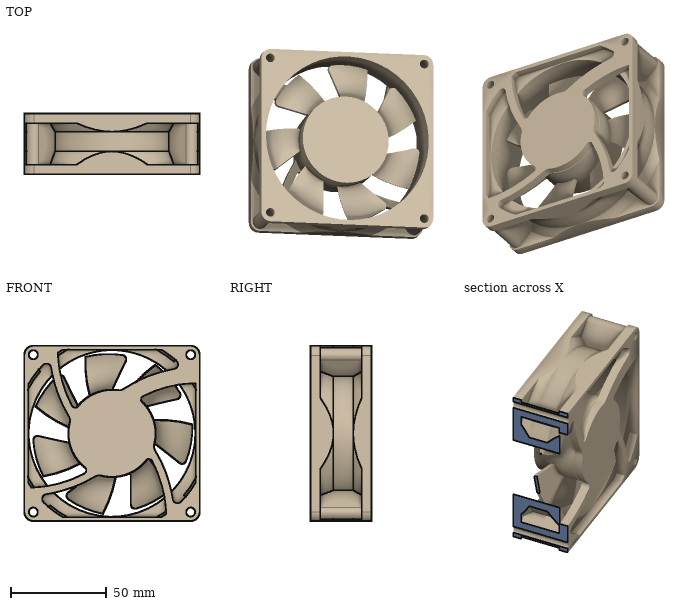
import cadquery as cq
import math

SIDE = 92.0
DEPTH = 32.0
PLATE_THICKNESS = 5.1
CORNER_RADIUS = 5.0
HOLE_OFFSET = 41.2
HOLE_RADIUS = 2.3
POST_RADIUS = 3.7

FRONT_Y = -DEPTH / 2
REAR_Y = DEPTH / 2
FRONT_PLATE_INNER_Y = FRONT_Y + PLATE_THICKNESS
REAR_PLATE_INNER_Y = REAR_Y - PLATE_THICKNESS

BARREL_RADIUS = SIDE / 2
BARREL_FRONT_Y = -4.0
BARREL_REAR_Y = 6.4
FLARE_RADIUS = 49.7
BORE_RADIUS = 43.6

GRILLE_DEPTH = 4.6
GRILLE_REAR_Y = FRONT_Y + GRILLE_DEPTH
GRILLE_HALF_SIDE = 43.9
GRILLE_CORNER_RADIUS = 50.9
OPEN_CORNER_FILLET = 5.0
TIGHT_CORNER_FILLET = 2.0
NARROW_END_FILLET = 2.5
NARROW_END_OFFSET = 30.4
OPEN_CORNER_AZIMUTH = 65.0
HUB_RADIUS = 22.7
SPOKE_CENTER_X = 36.1
SPOKE_CENTER_Z = 44.6
SPOKE_RADIUS = 66.6
SPOKE_WIDTH = 4.1
WIDE_SPOKE_WIDTH = 8.5
SPOKES = [(0, SPOKE_WIDTH), (90, SPOKE_WIDTH), (180, SPOKE_WIDTH), (270, WIDE_SPOKE_WIDTH)]

ROTOR_RADIUS = 23.0
ROTOR_REAR_Y = 12.0
BLADE_COUNT = 7
FIRST_BLADE_ANGLE = 94.3
BLADE_TILT = 10.0
BLADE_THICKNESS = 2.0
BLADE_CORNER_RADIUS = 2.3
BLADE_FRONT_ROOT = (18.4, 9.7)
BLADE_FRONT_MIDDLE = (31.3, 11.3)
BLADE_FRONT_TIP = (41.0, 10.9)
BLADE_TIP_MIDDLE = (41.8, 0.55)
BLADE_REAR_TIP = (39.7, -11.9)
BLADE_REAR_MIDDLE = (32.0, -7.3)
BLADE_REAR_ROOT = (18.4, 0.4)


def cylinder(radius, start_y, end_y, x=0.0, z=0.0):
    """Cylinder along Y between two Y positions."""
    plane = cq.Workplane("XZ", origin=(x, start_y, z))
    return plane.circle(radius).extrude(start_y - end_y)


def spin(body, angle):
    """Turn a body about the fan axis, counter-clockwise as seen from the front."""
    return body.rotate((0, 0, 0), (0, 1, 0), -angle)


def plate(start_y):
    """Square end plate with rounded corners."""
    slab = cq.Workplane("XZ", origin=(0, start_y, 0)).rect(SIDE, SIDE).extrude(-PLATE_THICKNESS)
    return slab.edges("|Y").fillet(CORNER_RADIUS)


def duct():
    """Flared air duct, trimmed flush with the sides of the plates."""
    profile = [
        (0, FRONT_PLATE_INNER_Y),
        (FLARE_RADIUS, FRONT_PLATE_INNER_Y),
        (BARREL_RADIUS, BARREL_FRONT_Y),
        (BARREL_RADIUS, BARREL_REAR_Y),
        (FLARE_RADIUS, REAR_PLATE_INNER_Y),
        (0, REAR_PLATE_INNER_Y),
    ]
    flared = cq.Workplane("XY").polyline(profile).close().revolve(360, (0, 0, 0), (0, 1, 0))
    return flared.intersect(cq.Workplane("XY").box(SIDE, DEPTH, SIDE))


def corner_posts():
    """Round posts joined to the duct by webs of the same width, along both diagonals."""
    diagonal = 2 * math.sqrt(2) * HOLE_OFFSET
    posts = cq.Workplane("XZ", origin=(0, FRONT_PLATE_INNER_Y, 0))
    return (
        posts.slot2D(diagonal + 2 * POST_RADIUS, 2 * POST_RADIUS, 45)
        .slot2D(diagonal + 2 * POST_RADIUS, 2 * POST_RADIUS, -45)
        .extrude(FRONT_PLATE_INNER_Y - REAR_PLATE_INNER_Y)
    )


def spoke(turn, width):
    """Arc-shaped band from the hub to the upper left frame corner, then turned about the fan axis."""
    start_y, end_y = FRONT_Y, GRILLE_REAR_Y
    band = cylinder(SPOKE_RADIUS + width / 2, start_y, end_y, SPOKE_CENTER_X, SPOKE_CENTER_Z)
    band = band.cut(cylinder(SPOKE_RADIUS - width / 2, start_y, end_y, SPOKE_CENTER_X, SPOKE_CENTER_Z))
    quarter = cq.Workplane("XY").box(SIDE / 2, DEPTH, SIDE / 2).translate((-SIDE / 4, 0, SIDE / 4))
    return spin(band.intersect(quarter), turn)


def is_hub_corner(edge):
    """True for the pocket corners where a spoke meets the hub."""
    return math.hypot(edge.Center().x, edge.Center().z) < HUB_RADIUS + 0.9


def is_open_corner(edge):
    """True where the spoke leaves the hub at a wide angle, far round each quarter of the hub."""
    azimuth = math.degrees(math.atan2(edge.Center().z, edge.Center().x)) % 90
    return is_hub_corner(edge) and azimuth > OPEN_CORNER_AZIMUTH


def is_tight_corner(edge):
    """True where the spoke leaves the hub at a sharp angle."""
    return is_hub_corner(edge) and not is_open_corner(edge)


def is_narrow_end(edge):
    """True for the narrow pocket ends next to the frame corners."""
    return min(abs(edge.Center().x), abs(edge.Center().z)) > NARROW_END_OFFSET


def grille_pockets():
    """Four pockets between hub, spokes and frame."""
    window = cq.Workplane("XZ", origin=(0, FRONT_Y, 0))
    window = window.rect(2 * GRILLE_HALF_SIDE, 2 * GRILLE_HALF_SIDE).extrude(-GRILLE_DEPTH)
    window = window.intersect(cylinder(GRILLE_CORNER_RADIUS, FRONT_Y, GRILLE_REAR_Y))
    window = window.cut(cylinder(HUB_RADIUS, FRONT_Y, GRILLE_REAR_Y))
    for turn, width in SPOKES:
        window = window.cut(spoke(turn, width))
    open_corners = window.edges("|Y").filter(is_open_corner)
    window = open_corners.fillet(OPEN_CORNER_FILLET)
    tight_corners = window.edges("|Y").filter(is_tight_corner)
    window = tight_corners.fillet(TIGHT_CORNER_FILLET)
    narrow_ends = window.edges("|Y").filter(is_narrow_end)
    return narrow_ends.fillet(NARROW_END_FILLET)


def blade():
    """Flat blade reaching out along +X, tilted about X so that its +Z edge is nearer the front."""
    outline = (
        cq.Workplane("XZ")
        .moveTo(*BLADE_FRONT_ROOT)
        .threePointArc(BLADE_FRONT_MIDDLE, BLADE_FRONT_TIP)
        .threePointArc(BLADE_TIP_MIDDLE, BLADE_REAR_TIP)
        .threePointArc(BLADE_REAR_MIDDLE, BLADE_REAR_ROOT)
        .close()
    )
    tip_x, tip_z = BLADE_REAR_TIP
    slab = outline.extrude(-BLADE_THICKNESS)
    rear_corner = slab.edges(cq.selectors.NearestToPointSelector((tip_x, BLADE_THICKNESS / 2, tip_z)))
    return rear_corner.fillet(BLADE_CORNER_RADIUS).rotate((0, 0, 0), (1, 0, 0), BLADE_TILT)


def frame():
    """Plates, duct and posts, opened by the bore, the grille pockets and the mounting holes."""
    body = plate(FRONT_Y).union(plate(REAR_PLATE_INNER_Y)).union(duct()).union(corner_posts())
    body = body.cut(cylinder(BORE_RADIUS, GRILLE_REAR_Y, REAR_Y))
    body = body.cut(grille_pockets())
    for x in (-HOLE_OFFSET, HOLE_OFFSET):
        for z in (-HOLE_OFFSET, HOLE_OFFSET):
            body = body.cut(cylinder(HOLE_RADIUS, FRONT_Y, REAR_Y, x, z))
    return body


def impeller():
    """Rotor drum behind the grille hub with its ring of blades."""
    body = cylinder(ROTOR_RADIUS, GRILLE_REAR_Y, ROTOR_REAR_Y)
    for index in range(BLADE_COUNT):
        body = body.union(spin(blade(), FIRST_BLADE_ANGLE + index * 360 / BLADE_COUNT))
    return body


result = frame().union(impeller())